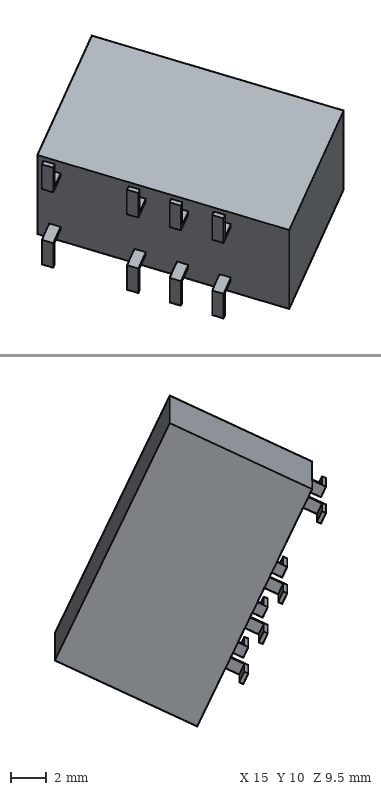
import cadquery as cq

body_length = 15.0
body_depth = 8.8
body_height = 7.5

overall_depth = 10.0
overall_height = 9.5
lead_width = 0.68
lead_thickness = 0.25
lead_leg_height = 2.34
lead_pitch = 2.54
first_lead_x = 1.05
lead_steps = (0, 2, 3, 4)

lead_reach = overall_depth - body_depth
half_height = overall_height / 2

body = cq.Workplane("XY").box(body_length, body_depth, body_height, centered=(False, False, True))


def bent_lead(center_x, side):
    """L-shaped lead leaving the front face and turning up (side = 1) or down (side = -1)."""
    root_z = half_height - lead_leg_height
    profile = [
        (0, root_z),
        (-lead_reach, root_z),
        (-lead_reach, half_height),
        (-lead_reach + lead_thickness, half_height),
        (-lead_reach + lead_thickness, root_z + lead_thickness),
        (0, root_z + lead_thickness),
    ]
    return (
        cq.Workplane("YZ", origin=(center_x, 0, 0))
        .polyline([(y, side * z) for y, z in profile])
        .close()
        .extrude(lead_width / 2, both=True)
    )


result = body
for step in lead_steps:
    for side in (1, -1):
        result = result.union(bent_lead(first_lead_x + step * lead_pitch, side))